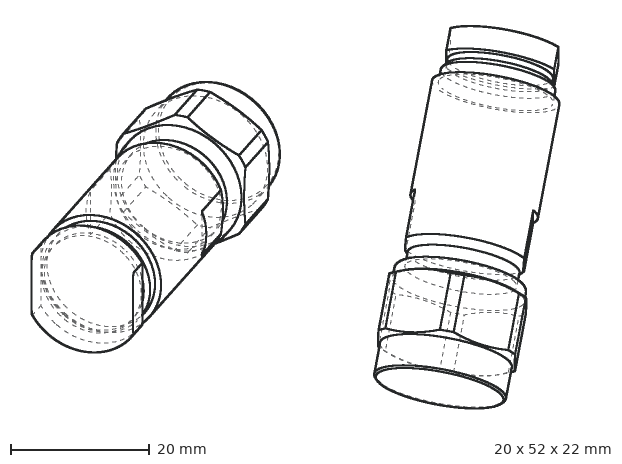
import cadquery as cq
import math

total_length = 52.0
cap_end = 3.55
groove_end = 4.45
step_cone_end = 5.25
body_start = 7.1
wrench_flat_start = 24.4
body_shoulder = 31.65
neck_start = 32.9
nut_start = 35.05
hex_start = 37.0
hex_end = 46.95

body_radius = 9.35
cap_radius = body_radius
groove_radius = 7.75
step_radius = 8.4
neck_radius = 8.2
collar_radius = 9.65

cap_edge_fillet = 0.4
collar_rear_fillet = 0.6
collar_front_chamfer = 0.3

cap_flat_width = 15.8
wrench_flat_width = 17.3
hex_across_flats = 20.0
hex_corner_radius = 11.0
hex_chamfer_angle = 26.0


def revolve_about_axis(profile):
    """Turn a (radius, length) outline about the Y axis."""
    return profile.close().revolve(360, (0, 0, 0), (0, 1, 0))


def extruded_along_axis(sketch_on_plane, start, end):
    """Extrude from one place to another along +Y."""
    plane = cq.Workplane("XZ", origin=(0, start, 0))
    return sketch_on_plane(plane).extrude(start - end)


def flatten_sides(solid, width, start, end):
    """Cut two parallel flats facing -X and +X over a stretch of the axis."""
    cutter_depth = body_radius
    cutter_height = 4 * body_radius
    for side in (-1, 1):
        cutter = cq.Workplane("XY").box(cutter_depth, end - start, cutter_height)
        cutter_center = (side * (width + cutter_depth) / 2, (start + end) / 2, 0)
        solid = solid.cut(cutter.translate(cutter_center))
    return solid


def make_body():
    """Turned sleeve, rear step and end cap, with flats on the sleeve and the cap."""
    profile = (
        cq.Workplane("XY")
        .moveTo(0, 0)
        .lineTo(cap_radius, 0)
        .lineTo(cap_radius, cap_end)
        .lineTo(groove_radius, cap_end)
        .lineTo(groove_radius, groove_end)
        .lineTo(step_radius, step_cone_end)
        .lineTo(step_radius, body_start)
        .lineTo(body_radius, body_start)
        .lineTo(body_radius, body_shoulder)
        .lineTo(neck_radius, neck_start)
        .lineTo(neck_radius, nut_start)
        .lineTo(0, nut_start)
    )
    body = revolve_about_axis(profile).faces("<Y").edges().fillet(cap_edge_fillet)
    body = flatten_sides(body, cap_flat_width, 0, cap_end)
    return flatten_sides(body, wrench_flat_width, wrench_flat_start, neck_start)


def make_collar():
    """Round part of the coupling nut, rounded at the rear and chamfered in front."""
    collar = extruded_along_axis(lambda plane: plane.circle(collar_radius), nut_start, total_length)
    collar = collar.faces("<Y").edges().fillet(collar_rear_fillet)
    return collar.faces(">Y").edges().chamfer(collar_front_chamfer)


def make_hexagon():
    """Hexagon with corners up and down, turned round and chamfered at both ends."""
    corner_to_corner = hex_across_flats / math.cos(math.pi / 6)
    hexagon = extruded_along_axis(
        lambda plane: plane.transformed(rotate=(0, 0, 90)).polygon(6, corner_to_corner),
        hex_start,
        hex_end,
    )
    chamfer_length = (hex_corner_radius - collar_radius) * math.tan(math.radians(hex_chamfer_angle))
    envelope = (
        cq.Workplane("XY")
        .moveTo(0, hex_start)
        .lineTo(collar_radius, hex_start)
        .lineTo(hex_corner_radius, hex_start + chamfer_length)
        .lineTo(hex_corner_radius, hex_end - chamfer_length)
        .lineTo(collar_radius, hex_end)
        .lineTo(0, hex_end)
    )
    return hexagon.intersect(revolve_about_axis(envelope))


result = make_body().union(make_collar()).union(make_hexagon())